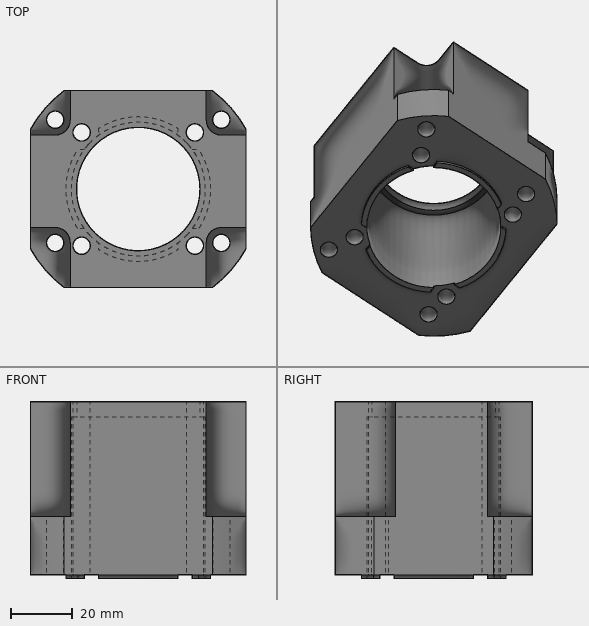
import cadquery as cq

LENGTH_X = 70.0
LENGTH_Y = 64.0
TOTAL_HEIGHT = 57.5
LIP_HEIGHT = 1.2
BODY_HEIGHT = TOTAL_HEIGHT - LIP_HEIGHT
CORNER_DIAMETER = 80.0

FLANGE_HEIGHT = 19.0
WAIST_X = 44.1
WAIST_Y = 29.95
RELIEF_RADIUS = 5.0
FLANGE_PATTERN_SHIFT_Y = 2.5

MOUTH_DIAMETER = 40.0
MOUTH_DEPTH = 5.0
BORE_DIAMETER = 43.5

LIP_DIAMETER = 47.0
LIP_GAP_DIAMETER = 11.1

HOLE_DIAMETER = 5.5
INNER_SPACING = 36.75
FLANGE_SPACING_X = 53.9
FLANGE_SPACING_Y = 40.0


def cylinder(diameter, bottom, height):
    """Cylinder on the part axis."""
    return cq.Workplane("XY").workplane(offset=bottom).circle(diameter / 2).extrude(height)


def four_cylinders(spacing_x, spacing_y, diameter, bottom, height):
    """Upright cylinders at the corners of a centred rectangle."""
    plane = cq.Workplane("XY").workplane(offset=bottom)
    return plane.rect(spacing_x, spacing_y, forConstruction=True).vertices().circle(diameter / 2).extrude(height)


def make_block():
    """Block with turned outer corners."""
    block = cq.Workplane("XY").rect(LENGTH_X, LENGTH_Y).extrude(BODY_HEIGHT)
    return block.intersect(cylinder(CORNER_DIAMETER, 0, BODY_HEIGHT))


def make_corner_reliefs():
    """Four pockets, open at the corners, with a rounded inner edge."""
    relief_height = BODY_HEIGHT - FLANGE_HEIGHT
    relief = (
        cq.Workplane("XY")
        .workplane(offset=FLANGE_HEIGHT)
        .rect(LENGTH_X, LENGTH_Y, forConstruction=True)
        .vertices()
        .rect(LENGTH_X - WAIST_X, LENGTH_Y - WAIST_Y)
        .extrude(relief_height)
    )
    return relief.edges("|Z").fillet(RELIEF_RADIUS).translate((0, FLANGE_PATTERN_SHIFT_Y, 0))


def make_lip():
    """Locating lip with a round gap at each inner bolt hole."""
    lip = cylinder(LIP_DIAMETER, -LIP_HEIGHT, LIP_HEIGHT)
    gaps = four_cylinders(INNER_SPACING, INNER_SPACING, LIP_GAP_DIAMETER, -LIP_HEIGHT, LIP_HEIGHT)
    return lip.cut(gaps)


def make_bore():
    """Through bore with a narrower mouth at the top face."""
    mouth = cylinder(MOUTH_DIAMETER, -LIP_HEIGHT, TOTAL_HEIGHT)
    return mouth.union(cylinder(BORE_DIAMETER, -LIP_HEIGHT, TOTAL_HEIGHT - MOUTH_DEPTH))


inner_holes = four_cylinders(INNER_SPACING, INNER_SPACING, HOLE_DIAMETER, 0, BODY_HEIGHT)
flange_holes = four_cylinders(FLANGE_SPACING_X, FLANGE_SPACING_Y, HOLE_DIAMETER, 0, FLANGE_HEIGHT)
flange_holes = flange_holes.translate((0, FLANGE_PATTERN_SHIFT_Y, 0))

result = make_block().cut(make_corner_reliefs()).union(make_lip())
result = result.cut(make_bore()).cut(inner_holes).cut(flange_holes)